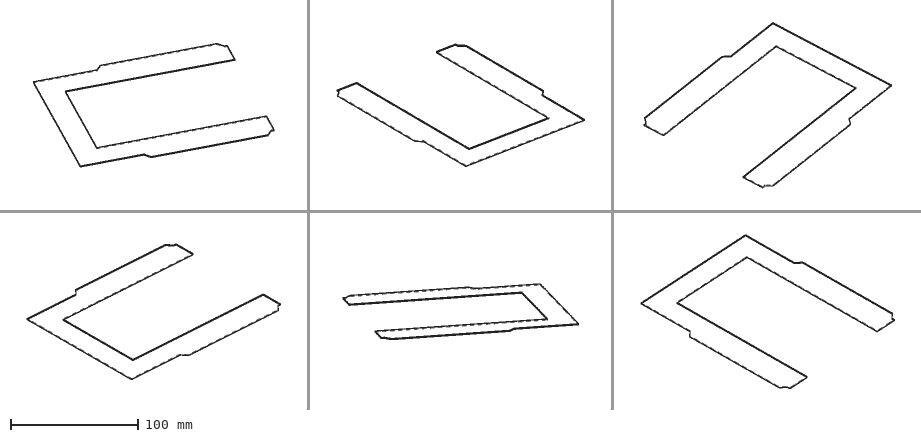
import cadquery as cq

length = 160.0
frame_width = 120.0
arm_width = 19.65
cross_bar_width = 20.0
thickness = 1.0
ear_projection = 5.0
ear_end_gap = 2.5
ear_length = 105.0
ear_bevel = 4.3

half_width = frame_width / 2
half_opening = half_width - arm_width
tip_y = length / 2
base_y = -length / 2
ear_top_y = tip_y - ear_end_gap
ear_bottom_y = ear_top_y - ear_length


def make_frame():
    """U-shaped plate, open toward +Y."""
    return (
        cq.Workplane("XY")
        .moveTo(-half_width, base_y)
        .lineTo(half_width, base_y)
        .lineTo(half_width, tip_y)
        .lineTo(half_opening, tip_y)
        .lineTo(half_opening, base_y + cross_bar_width)
        .lineTo(-half_opening, base_y + cross_bar_width)
        .lineTo(-half_opening, tip_y)
        .lineTo(-half_width, tip_y)
        .close()
        .extrude(thickness)
    )


def make_ear(side):
    """Ear with sloped ends on the outer edge of one arm; side is +1 or -1 along X.

    Its inner edge lies along the middle of the arm so that the two overlap.
    """
    inner_x = side * (half_width - arm_width / 2)
    arm_edge_x = side * half_width
    outer_x = side * (half_width + ear_projection)
    return (
        cq.Workplane("XY")
        .moveTo(inner_x, ear_bottom_y)
        .lineTo(arm_edge_x, ear_bottom_y)
        .lineTo(outer_x, ear_bottom_y + ear_bevel)
        .lineTo(outer_x, ear_top_y - ear_bevel)
        .lineTo(arm_edge_x, ear_top_y)
        .lineTo(inner_x, ear_top_y)
        .close()
        .extrude(thickness)
    )


result = make_frame()
for side in (-1, 1):
    result = result.union(make_ear(side))
result = result.clean()